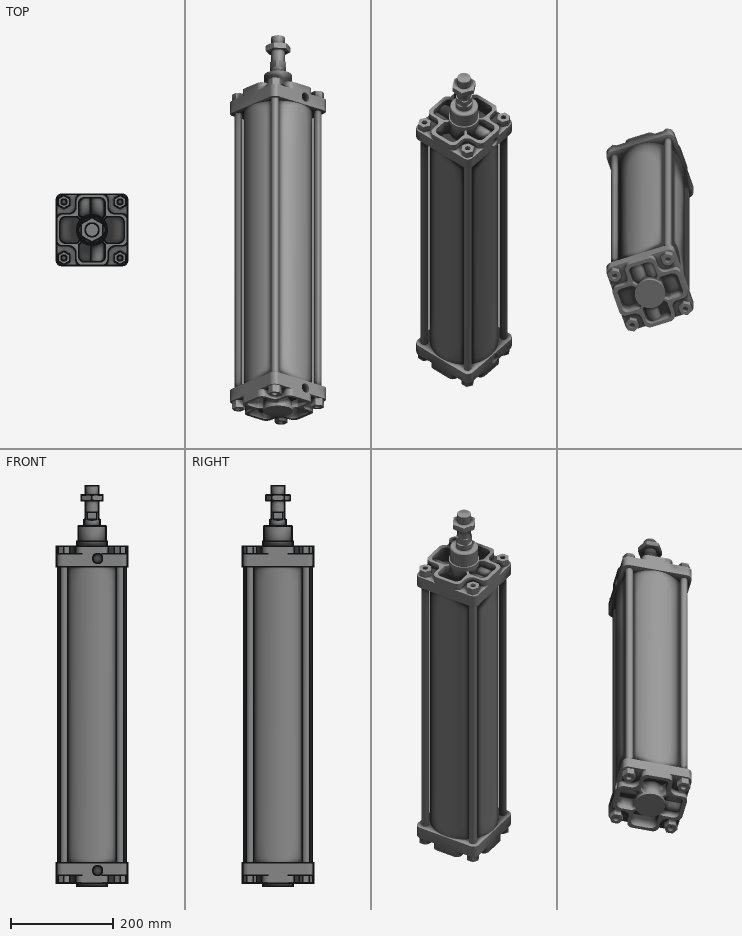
import cadquery as cq
import math

total_length = 785.0
cap_height = 40.0
boss_height = 6.0
front_cap_top = 666.5
overlap = 1.0
quarter_turns = (0, 90, 180, 270)

cap_side = 140.0
cap_corner_radius = 12.0
corner_step = 15.0
arm_half_width = 31.5
arm_end_round = 12.0
arm_inner_round = 15.0

web_fillet = 4.0
wall = 7.0
pocket_width = 52.0
pocket_depth = 34.0
pocket_round = 12.0
web_thickness = 5.0
centring_diameter = 60.0
hub_diameter = 55.0

port_diameter = 19.0
port_depth = 20.0
port_offset = 11.0
port_drop = 24.0
port_boss_diameter = 27.0
cushion_boss_diameter = 25.0
cushion_boss_offset = -16.0

tube_diameter = 135.0
tie_spacing = 110.0
tie_diameter = 15.0
tie_nut_flats = 23.0
tie_socket_diameter = 11.0
tie_socket_depth = 5.0
tie_bore_diameter = 10.0
tie_bore_depth = 9.5

flange_height = 9.5
collar_diameter = 55.0
collar_top = 706.5
collar_chamfer = 1.5

rod_diameter = 32.0
thread_diameter = 27.0
thread_length = 52.5
flats_length = 13.0
flats_runout = 1.5
rod_flats = 27.0

bevel_angle = math.radians(15)

nut_flats = 42.0
nut_thickness = 12.0
nut_top = 767.0

cap_half = cap_side / 2
tie_places = [(sx * tie_spacing / 2, sy * tie_spacing / 2) for sx in (-1, 1) for sy in (-1, 1)]


def cylinder(diameter, bottom, top):
    return cq.Workplane("XY").workplane(offset=bottom).circle(diameter / 2).extrude(top - bottom)


def hexagon(flats, bottom, top):
    """Hexagonal prism on the Z axis with two corners on the Y axis."""
    height = top - bottom
    across_corners = flats / math.cos(math.pi / 6)
    prism = cq.Workplane("XY").polygon(6, across_corners).extrude(height)
    prism = prism.rotate((0, 0, 0), (0, 0, 1), 90)
    bevel = (across_corners - flats) / 2
    bevel_height = bevel * math.tan(bevel_angle)
    blank = cylinder(across_corners, 0, height).edges().chamfer(bevel_height, bevel)
    return prism.intersect(blank).translate((0, 0, bottom))


def corner_relief():
    """Step in the +X +Y corner of a cap whose outer face is at z = 0."""
    near = arm_half_width
    face_end = near - arm_end_round
    round_end = cap_half - arm_end_round
    end_turn = arm_end_round * (1 - math.sqrt(0.5))
    inner_turn = arm_inner_round * (1 - math.sqrt(0.5))
    return (
        cq.Workplane("XY").workplane(offset=-corner_step)
        .moveTo(face_end, cap_half)
        .threePointArc((near - end_turn, cap_half - end_turn), (near, round_end))
        .lineTo(near, near + arm_inner_round)
        .threePointArc((near + inner_turn, near + inner_turn), (near + arm_inner_round, near))
        .lineTo(round_end, near)
        .threePointArc((cap_half - end_turn, near - end_turn), (cap_half, face_end))
        .lineTo(cap_side, face_end)
        .lineTo(cap_side, cap_side)
        .lineTo(face_end, cap_side)
        .close()
        .extrude(corner_step + overlap)
    )


def pocket_lobe():
    """Pocket on the +X side, between two diagonal webs and around the hub."""
    half = pocket_width / 2
    outer = cap_half - wall
    web_gap = web_thickness / math.sqrt(2)
    wall_corner = half + web_gap
    lobe = (
        cq.Workplane("XY").workplane(offset=-pocket_depth)
        .polyline([(web_gap, 0), (wall_corner, half), (outer, half),
                   (outer, -half), (wall_corner, -half)])
        .close()
        .extrude(pocket_depth)
    )
    lobe = lobe.edges("|Z").edges(">X").fillet(pocket_round)
    lobe = lobe.cut(cylinder(hub_diameter, -cap_height, overlap))
    web_ends = cq.selectors.BoxSelector(
        (0, -cap_half, -cap_height), (wall_corner + overlap, cap_half, overlap)
    )
    return lobe.edges("|Z").edges(web_ends).fillet(web_fillet)


def along_y(diameter, offset, start, end):
    """Cylinder along Y at the port height of a cap whose outer face is at z = 0."""
    return (
        cq.Workplane("XZ", origin=(offset, start, -port_drop))
        .circle(diameter / 2).extrude(start - end)
    )


def tie_nut():
    """Nut on a tie rod end, flush with the cap face at z = 0."""
    nut = hexagon(tie_nut_flats, -corner_step - overlap, 0)
    nut = nut.cut(cylinder(tie_socket_diameter, -tie_socket_depth, 0))
    return nut.cut(cylinder(tie_bore_diameter, -tie_bore_depth, 0))


def end_cap():
    """End cap with its outer face at z = 0, facing up."""
    cap = (
        cq.Workplane("XY").rect(cap_side, cap_side).extrude(-cap_height)
        .edges("|Z").fillet(cap_corner_radius)
    )
    kept = along_y(port_boss_diameter, port_offset, -cap_half, cap_half)
    kept = kept.union(along_y(cushion_boss_diameter, cushion_boss_offset, pocket_width / 2, cap_half))
    kept = kept.union(cylinder(hub_diameter, -cap_height, 0))
    for angle in quarter_turns:
        cap = cap.cut(corner_relief().rotate((0, 0, 0), (0, 0, 1), angle))
        cap = cap.cut(pocket_lobe().rotate((0, 0, 0), (0, 0, 1), angle).cut(kept))
    for x, y in tie_places:
        cap = cap.union(tie_nut().translate((x, y, 0)))
    return cap.cut(along_y(port_diameter, port_offset, -cap_half, -cap_half + port_depth))


def make_housing():
    front_cap = end_cap().translate((0, 0, front_cap_top))
    rear_cap = end_cap().mirror("XY").translate((0, 0, boss_height))
    tube_bottom = boss_height + cap_height - overlap
    tube_top = front_cap_top - cap_height + overlap
    housing = front_cap.union(rear_cap).union(cylinder(tube_diameter, tube_bottom, tube_top))
    for x, y in tie_places:
        housing = housing.union(cylinder(tie_diameter, tube_bottom, tube_top).translate((x, y, 0)))
    rear_boss = cylinder(centring_diameter, 0, boss_height)
    flange = cylinder(centring_diameter, front_cap_top, front_cap_top + flange_height)
    collar = cylinder(collar_diameter, front_cap_top, collar_top).faces(">Z").chamfer(collar_chamfer)
    return housing.union(rear_boss).union(flange).union(collar)


def make_rod():
    shoulder = total_length - thread_length
    rod = cylinder(rod_diameter, front_cap_top - cap_height, shoulder)
    flats_end = shoulder - flats_length
    flats = (
        cq.Workplane("XZ").workplane(offset=-rod_diameter)
        .moveTo(rod_flats / 2, shoulder)
        .lineTo(rod_flats / 2, flats_end)
        .lineTo(rod_diameter / 2, flats_end - flats_runout)
        .lineTo(rod_diameter, flats_end - flats_runout)
        .lineTo(rod_diameter, shoulder)
        .close()
        .extrude(2 * rod_diameter)
    )
    for angle in quarter_turns:
        rod = rod.cut(flats.rotate((0, 0, 0), (0, 0, 1), angle))
    return rod.union(cylinder(thread_diameter, shoulder - overlap, total_length))


def make_lock_nut():
    nut_bottom = nut_top - nut_thickness
    return hexagon(nut_flats, nut_bottom, nut_top).cut(cylinder(thread_diameter, nut_bottom, nut_top))


rod = make_rod()
housing = make_housing().cut(rod)
lock_nut = make_lock_nut()

result = cq.Compound.makeCompound([housing.val(), rod.val(), lock_nut.val()])